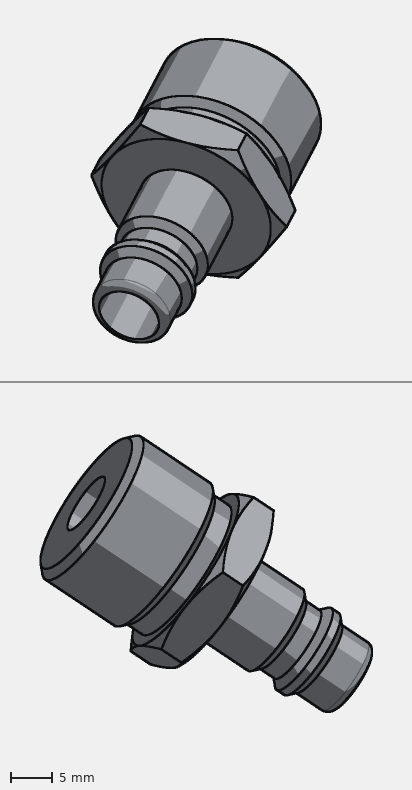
import cadquery as cq
import math

total_length = 40.0
bevel = 1.0

nose_radius = 5.0
nose_rounding = 1.0
stem_radius = nose_radius + bevel
collar_start = 5.0
collar_land = 1.15
groove_width = 2.3

hex_across_flats = 22.0
hex_start = 20.0
hex_width = 5.0
hex_chamfer_angle = 30.0

thread_radius = 10.5
relief_radius = thread_radius - bevel
relief_width = 2.5

bore_radius = 3.9

land_start = collar_start + bevel
land_end = land_start + collar_land
groove_start = land_end + bevel
groove_end = groove_start + groove_width
hex_end = hex_start + hex_width
relief_end = hex_end + relief_width
hex_corner_radius = hex_across_flats / 2 / math.cos(math.pi / 6)


def revolve_about_y(profile):
    return profile.close().revolve(360, (0, 0, 0), (0, 1, 0))


def make_turned_body():
    """Plug, thread end and the core running through the hexagon."""
    profile = (
        cq.Workplane("XY")
        .lineTo(nose_radius - nose_rounding, 0)
        .radiusArc((nose_radius, nose_rounding), -nose_rounding)
        .lineTo(nose_radius, collar_start)
        .lineTo(stem_radius, land_start)
        .lineTo(stem_radius, land_end)
        .lineTo(nose_radius, groove_start)
        .lineTo(nose_radius, groove_end)
        .lineTo(stem_radius, groove_end + bevel)
        .lineTo(stem_radius, hex_end)
        .lineTo(relief_radius, hex_end)
        .lineTo(relief_radius, relief_end)
        .lineTo(thread_radius, relief_end + bevel)
        .lineTo(thread_radius, total_length - bevel)
        .lineTo(thread_radius - bevel, total_length)
        .lineTo(0, total_length)
    )
    return revolve_about_y(profile)


def make_hexagon():
    """Hexagon with corners on X, its corners turned down on both faces."""
    prism = (
        cq.Workplane("XZ", origin=(0, hex_start, 0))
        .polygon(6, 2 * hex_corner_radius)
        .extrude(-hex_width)
    )
    face_radius = hex_across_flats / 2
    chamfer_depth = (hex_corner_radius - face_radius) * math.tan(math.radians(hex_chamfer_angle))
    envelope = (
        cq.Workplane("XY")
        .moveTo(0, hex_start)
        .lineTo(face_radius, hex_start)
        .lineTo(hex_corner_radius, hex_start + chamfer_depth)
        .lineTo(hex_corner_radius, hex_end - chamfer_depth)
        .lineTo(face_radius, hex_end)
        .lineTo(0, hex_end)
    )
    return prism.intersect(revolve_about_y(envelope))


def make_bore():
    return cq.Workplane("XZ").circle(bore_radius).extrude(-total_length)


result = make_turned_body().union(make_hexagon()).cut(make_bore())